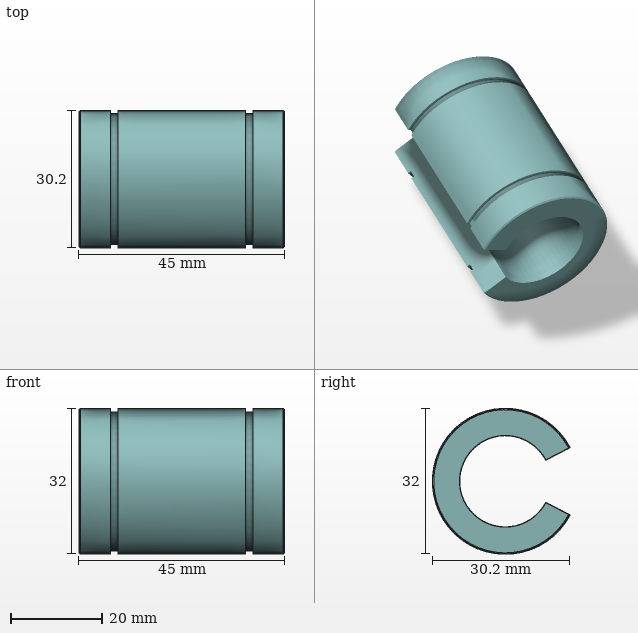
import cadquery as cq

LENGTH = 45.0
OUTER_RADIUS = 16.0
BORE_RADIUS = 10.0
END_CHAMFER = 0.3

GROOVE_RADIUS = 15.25
GROOVE_WIDTH = 1.6
GROOVE_OUTER_SPAN = 31.2

OPENING_ANGLE = 55.0
WALL_ANGLE = 360.0 - OPENING_ANGLE


def make_section():
    """Half-section of the wall: X is the axial position and Y the radius."""
    end_x = LENGTH / 2
    chamfer_x = end_x - END_CHAMFER
    chamfer_radius = OUTER_RADIUS - END_CHAMFER
    groove_outer_x = GROOVE_OUTER_SPAN / 2
    groove_inner_x = groove_outer_x - GROOVE_WIDTH

    right_outline = [
        (end_x, BORE_RADIUS),
        (end_x, chamfer_radius),
        (chamfer_x, OUTER_RADIUS),
        (groove_outer_x, OUTER_RADIUS),
        (groove_outer_x, GROOVE_RADIUS),
        (groove_inner_x, GROOVE_RADIUS),
        (groove_inner_x, OUTER_RADIUS),
    ]
    left_outline = [(-x, radius) for x, radius in reversed(right_outline)]
    return cq.Workplane("XY").polyline(right_outline + left_outline).close()


def make_sleeve():
    """Sweep the section around the X axis, leaving the opening free."""
    sleeve = make_section().revolve(WALL_ANGLE, (0, 0, 0), (1, 0, 0))
    return sleeve.rotate((0, 0, 0), (1, 0, 0), OPENING_ANGLE / 2)


result = make_sleeve()